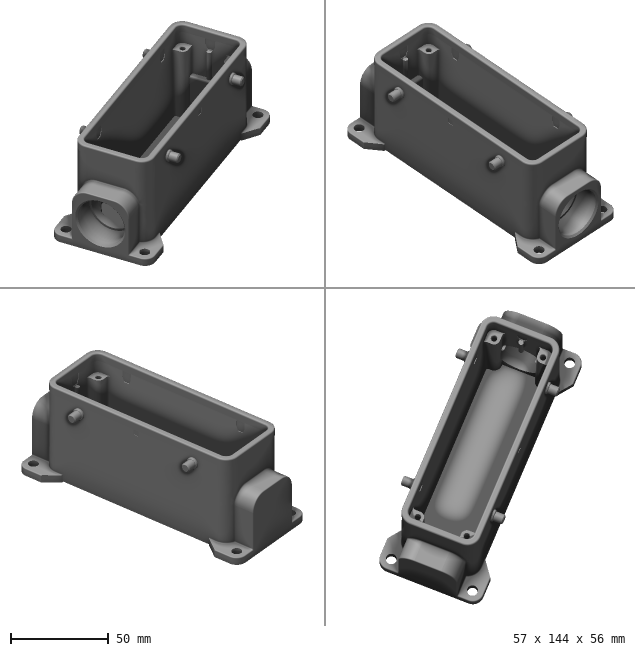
import cadquery as cq
import math

length = 144.0
foot_width = 57.0
height = 56.0

seam_z = 51.3
base_z = 0.9
floor_z = 3.7
shell_width = 43.2
shell_length = 120.4
shell_radius = 7.8
shell_draft = 0.3

cavity_width = 36.0
cavity_length = 113.2
cavity_radius = 3.7
ledge_z = 44.6
ledge_draft = 0.3
floor_draft = 1.7

step_z = 27.5
step_face_y = 52.4
step_round = 1.2
post_x = 13.5
post_y = 51.8
post_radius = 3.2
post_size = 13.0
post_growth = 1.2
post_fillet = 1.2
screw_diameter = 3.0
screw_depth = 14.4
screw_mouth = 3.6
rib_radius = 1.37
rib_y = 55.2

entry_width = 32.7
entry_top_z = 36.0
entry_radius = 9.0
entry_round = 0.6
joint_blend = 0.6
bore_z = 19.0
bore_diameter = 26.6
bore_depth = 14.4
neck_diameter = 24.0
bore_chamfer = 1.0

foot_thickness = 4.5
foot_radius = 5.8
foot_flank_y = 56.5
foot_inner_y = 47.2
foot_round = 0.6
foot_chamfer = 0.7
mount_x = 22.5
mount_y = 66.1
mount_diameter = 5.6

rim_radius = 7.2
rim_round = 0.9
tab_inset = 0.1
tab_thickness = 1.3
outer_tab_width = 3.3
outer_tab_depth = 3.2
inner_tab_width = 5.5
inner_tab_tip_width = 3.3
inner_tab_straight = 3.7
inner_tab_depth = 6.3
notch_reach = 0.9

pin_y = 37.0
pin_z = 46.5
pin_diameter = 5.2
pin_span = 56.3
pin_chamfer = 0.6
pin_seat = 1.7
collar_x = 23.0
collar_diameter = 6.5
collar_chamfer = 0.5

mouth_angle = 45

wall_x = shell_width / 2
end_y = length / 2
ends = (-1, 1)
corners = [(sx, sy) for sx in ends for sy in ends]


def rounded_block(width, depth, radius, z_low, z_high):
    """Upright block with rounded vertical edges, centred on the Z axis."""
    return (cq.Workplane("XY", origin=(0, 0, z_low))
            .rect(width, depth).extrude(z_high - z_low).edges("|Z").fillet(radius))


def tapered_block(width, depth, radius, z_high, z_low, growth):
    """Rounded block sized at z_high whose sides move out by `growth` down to z_low."""
    drop = z_high - z_low
    angle = math.degrees(math.atan2(growth, drop))
    outline = cq.Sketch().rect(width, depth).vertices().fillet(radius)
    return (cq.Workplane("XY", origin=(0, 0, z_high))
            .placeSketch(outline).extrude(-drop, taper=-angle))


def upright_cylinder(x, y, diameter, z_low, z_high):
    """Vertical cylinder between two heights."""
    return (cq.Workplane("XY", origin=(x, y, z_low))
            .circle(diameter / 2).extrude(z_high - z_low))


def across_x(side, diameter, x_inner, x_outer, y):
    """Cylinder on a locking-pin axis, between two distances from the centre plane."""
    return (cq.Workplane("YZ", origin=(side * x_inner, y, pin_z))
            .circle(diameter / 2).extrude(side * (x_outer - x_inner)))


def make_foot(side):
    """Mounting foot across one end, with slanted flanks running under the shell."""
    half = foot_width / 2
    foot = (cq.Workplane("XY")
            .polyline([(-half, end_y), (half, end_y), (half, foot_flank_y), (wall_x, foot_inner_y),
                       (-wall_x, foot_inner_y), (-half, foot_flank_y)])
            .close().extrude(foot_thickness)
            .edges("|Z and >Y").fillet(foot_radius)
            .faces(">Y").edges(">Z").fillet(foot_round)
            .faces("<Y").edges("<Z").chamfer(foot_chamfer))
    return foot if side > 0 else foot.mirror("XZ")


def make_entry(side):
    """Cable-entry end: an arched block standing on the foot."""
    depth = end_y - cavity_length / 2
    entry = (cq.Workplane("XZ", origin=(0, end_y, 0))
             .rect(entry_width, 2 * entry_top_z).extrude(depth)
             .edges("|Y and >Z").fillet(entry_radius)
             .faces(">Y").edges("not <Z").fillet(entry_round)
             .intersect(rounded_block(foot_width, length, foot_radius, base_z, height)))
    return entry if side > 0 else entry.mirror("XZ")


def post_wall_corners(sx, sy):
    """Selects the two upright edges where a post meets the cavity walls."""
    inset = ledge_draft + floor_draft
    half_post = post_radius + post_growth
    side_edge = cq.selectors.BoxSelector(
        (sx * (cavity_width / 2 - inset), sy * (post_y - half_post), floor_z),
        (sx * cavity_width / 2, sy * (post_y - post_radius), ledge_z))
    end_edge = cq.selectors.BoxSelector(
        (sx * (post_x - half_post), sy * (cavity_length / 2 - inset), floor_z),
        (sx * (post_x - post_radius), sy * cavity_length / 2, ledge_z))
    return side_edge + end_edge


def joint_edges(side):
    """Selects the edges at one end where the entry, the shell and the foot meet."""
    margin = joint_blend
    joint_y = shell_length / 2
    entry_to_shell = cq.selectors.BoxSelector(
        (-entry_width, side * (joint_y - margin), foot_thickness + margin),
        (entry_width, side * (joint_y + margin), entry_top_z + margin))
    onto_foot = cq.selectors.BoxSelector(
        (-wall_x - shell_draft - margin, side * foot_inner_y, foot_thickness - foot_round / 2),
        (wall_x + shell_draft + margin, side * (end_y - entry_round), foot_thickness + foot_round / 2))
    return entry_to_shell + onto_foot


def make_cavity():
    """Drafted cavity, narrowed below the ledge height by four posts that blend into the walls."""
    upper = tapered_block(cavity_width, cavity_length, cavity_radius, seam_z, ledge_z, -ledge_draft)
    lower = tapered_block(cavity_width - 2 * ledge_draft, cavity_length - 2 * ledge_draft,
                          cavity_radius - ledge_draft, ledge_z, floor_z, -floor_draft)
    for sx, sy in corners:
        lower = lower.cut(make_post(sx, sy))
        lower = lower.edges(post_wall_corners(sx, sy)).fillet(post_fillet)
    return upper.union(lower)


def make_end_step(side):
    """Thickened lower part of an end wall, with a rounded top edge."""
    step = (cq.Workplane("XY")
            .box(cavity_width, cavity_length / 2 - step_face_y, step_z - base_z,
                 centered=(True, False, False))
            .edges(">Z and <Y").fillet(step_round)
            .translate((0, step_face_y, base_z)))
    return step if side > 0 else step.mirror("XZ")


def make_post(sx, sy):
    """Corner screw post, widening towards the floor and running into both walls."""
    post = tapered_block(post_size, post_size, post_radius, ledge_z, base_z, post_growth)
    shift = post_size / 2 - post_radius
    return post.translate((sx * (post_x + shift), sy * (post_y + shift), 0))


def make_screw_hole(sx, sy):
    """Blind screw hole with a countersunk mouth in the top of a post."""
    hole = upright_cylinder(sx * post_x, sy * post_y, screw_diameter, ledge_z - screw_depth, ledge_z)
    return hole.union(hole.faces(">Z").workplane().circle(screw_mouth / 2)
                      .extrude(-screw_mouth / 2, taper=mouth_angle))


def make_bore():
    """Stepped, chamfered cable bore through the -Y end."""
    def section(diameter, depth):
        """Round stretch of the bore, measured from the end face."""
        return (cq.Workplane("XZ", origin=(0, -end_y, bore_z))
                .circle(diameter / 2).extrude(-depth))
    mouth = (cq.Workplane("XZ", origin=(0, -end_y, bore_z))
             .circle(bore_diameter / 2 + bore_chamfer).extrude(-bore_diameter / 2, taper=mouth_angle))
    through = end_y - step_face_y + step_round
    return mouth.union(section(bore_diameter, bore_depth)).union(section(neck_diameter, through))


def make_collar(side, y):
    """Chamfered collar on the side wall around a locking pin."""
    return (across_x(side, collar_diameter, wall_x - pin_seat, collar_x, y)
            .faces(">X" if side > 0 else "<X").chamfer(collar_chamfer))


def outer_tab_shape(reach):
    """Tab below the rim at the middle of the -X side; `reach` extends it past its face."""
    return (cq.Workplane("XY")
            .box(tab_thickness + reach, outer_tab_width, outer_tab_depth, centered=(False, True, False))
            .translate((-wall_x + tab_inset - reach, 0, seam_z - outer_tab_depth)))


def inner_tab_shape(x, y, angle, reach):
    """Tab with a narrowed tip on the inside of the rim wall, facing back along `angle`."""
    half = inner_tab_width / 2
    half_tip = inner_tab_tip_width / 2
    return (cq.Workplane("YZ", origin=(-reach, 0, seam_z))
            .polyline([(-half, 0), (half, 0), (half, -inner_tab_straight), (half_tip, -inner_tab_depth),
                       (-half_tip, -inner_tab_depth), (-half, -inner_tab_straight)])
            .close().extrude(tab_thickness + reach)
            .rotate((0, 0, 0), (0, 0, 1), angle).translate((x, y, 0)))


def make_tabs(reach=0.0):
    """All tabs of the rim seal; with a reach, the notches that hold them."""
    tabs = [outer_tab_shape(reach), outer_tab_shape(reach).mirror("YZ")]
    for side in ends:
        tabs.append(inner_tab_shape(0, side * (cavity_length / 2 + tab_inset), side * 90, reach))
        for y in (-pin_y, pin_y):
            tabs.append(inner_tab_shape(side * (cavity_width / 2 + tab_inset), y, 90 - side * 90, reach))
    return tabs


def make_housing():
    """Open-topped box with feet, cable-entry ends, posts, ribs and pin collars."""
    shell = tapered_block(shell_width, shell_length, shell_radius, seam_z, base_z, shell_draft)
    entries = make_entry(1).union(make_entry(-1))
    feet = make_foot(1).union(make_foot(-1))
    body = shell.union(entries).union(feet)
    body = body.edges(joint_edges(1) + joint_edges(-1)).fillet(joint_blend)

    cavity = make_cavity()
    for side in ends:
        cavity = cavity.cut(make_end_step(side))
    body = body.cut(cavity)

    for side in ends:
        rib = upright_cylinder(0, side * rib_y, 2 * rib_radius, step_z - step_round, ledge_z)
        body = body.union(rib)
    body = body.cut(make_bore())
    for sx, sy in corners:
        body = body.cut(make_screw_hole(sx, sy))
        body = body.cut(upright_cylinder(sx * mount_x, sy * mount_y, mount_diameter, 0, foot_thickness))
    for side in ends:
        for y in (-pin_y, pin_y):
            body = body.union(make_collar(side, y))
            body = body.cut(across_x(side, pin_diameter, wall_x - pin_seat, collar_x, y))
    for notch in make_tabs(notch_reach):
        body = body.cut(notch)
    return body


def make_seal():
    """Rounded ring on top of the shell, keyed into it by tabs."""
    ring = (rounded_block(shell_width, shell_length, rim_radius, seam_z, height)
            .cut(rounded_block(cavity_width, cavity_length, cavity_radius, seam_z, height))
            .faces(">Z").edges().fillet(rim_round))
    for tab in make_tabs():
        ring = ring.union(tab)
    return ring


def make_pin(side, y):
    """Locking pin seated in its collar, with a chamfered outer end."""
    return (across_x(side, pin_diameter, wall_x - pin_seat, pin_span / 2, y)
            .faces(">X" if side > 0 else "<X").chamfer(pin_chamfer))


housing = make_housing()
seal = make_seal()
pins = [make_pin(side, y) for side in ends for y in (-pin_y, pin_y)]
result = cq.Compound.makeCompound([housing.val(), seal.val(), *[pin.val() for pin in pins]])